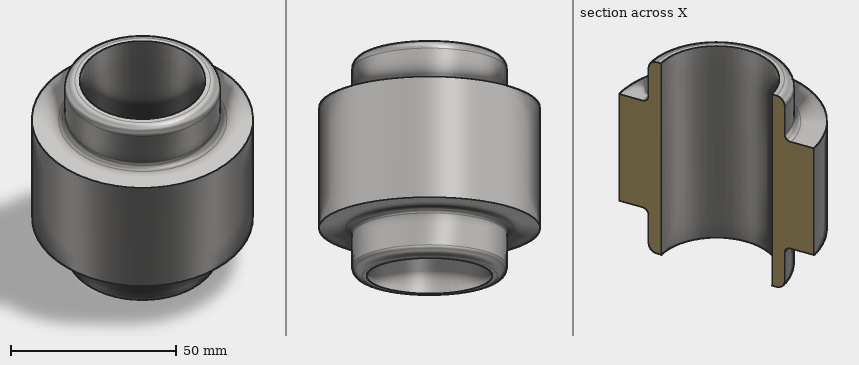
import cadquery as cq

total_height = 68.0
body_diameter = 67.0
body_height = 38.0
neck_diameter = 47.0
bore_diameter = 38.0
rim_radius = 3.0
root_radius = 2.0

body_radius = body_diameter / 2
neck_radius = neck_diameter / 2
bore_radius = bore_diameter / 2
neck_height = (total_height - body_height) / 2


def make_neck():
    """Upper neck: a ring with a rounded rim and a concave flare at its root."""
    root_z = body_height / 2
    end_z = root_z + neck_height
    profile = (
        cq.Workplane("XZ")
        .moveTo(bore_radius, 0)
        .lineTo(neck_radius + root_radius, 0)
        .lineTo(neck_radius + root_radius, root_z)
        .radiusArc((neck_radius, root_z + root_radius), root_radius)
        .lineTo(neck_radius, end_z - rim_radius)
        .radiusArc((neck_radius - rim_radius, end_z), -rim_radius)
        .lineTo(bore_radius, end_z)
        .close()
    )
    return profile.revolve(360, (0, 0, 0), (0, 1, 0))


def make_body():
    """Wide central ring, centred on the origin."""
    return (
        cq.Workplane("XY")
        .workplane(offset=-body_height / 2)
        .circle(body_radius)
        .circle(bore_radius)
        .extrude(body_height)
    )


upper_neck = make_neck()
lower_neck = upper_neck.mirror("XY")
result = make_body().union(upper_neck).union(lower_neck).clean()